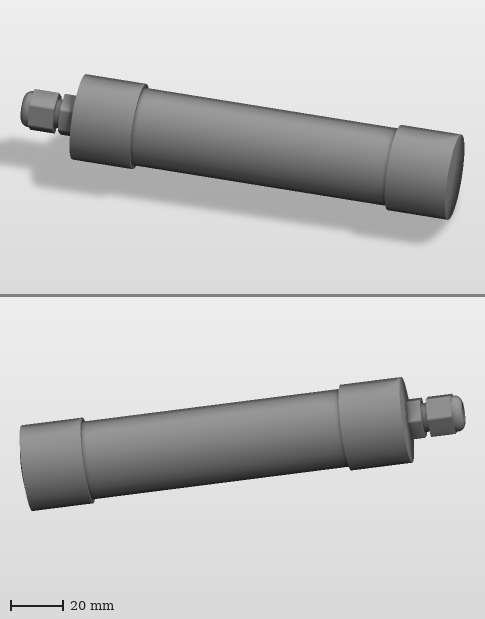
import cadquery as cq
import math

tube_diameter = 30.0
tube_bore = 24.0
cap_diameter = 33.0
cap_length = 23.6
rim_span = 147.2
dome_height = 1.6
socket_depth = 20.5
socket_floor = cap_length - socket_depth

hex_across_flats = 14.5
hex_corner_fillet = 1.0
hex_roll = 22.0
hex_end = -6.5
nut_start = -8.7
nut_hex_length = 9.5
nut_nose_length = 3.7
nut_nose_diameter = 14.0
nut_nose_round = 3.0
neck_diameter = 11.2
cable_bore = 7.5
neck_engagement = 3.2
neck_end = hex_end + neck_engagement

heading = 25.4
droop = 0.57


def cylinder(diameter, start, end):
    """Cylinder on the tube axis between two X positions."""
    return cq.Workplane("YZ", origin=(start, 0, 0)).circle(diameter / 2).extrude(end - start)


def hexagon(start, end):
    """Hexagonal prism on the tube axis with rounded corner edges."""
    corner_diameter = hex_across_flats / math.cos(math.radians(30))
    prism = cq.Workplane("YZ", origin=(start, 0, 0)).polygon(6, corner_diameter).extrude(end - start)
    prism = prism.edges("|X").fillet(hex_corner_fillet)
    return prism.rotate((0, 0, 0), (1, 0, 0), 90 - hex_roll)


def make_cap():
    """Domed cap with its rim at X = 0 and its open socket facing +X."""
    radius = cap_diameter / 2
    blank = (
        cq.Workplane("XY")
        .moveTo(cap_length, 0)
        .lineTo(cap_length, radius)
        .lineTo(0, radius)
        .radiusArc((-dome_height, 0), -(radius**2 + dome_height**2) / (2 * dome_height))
        .close()
        .revolve(360, (0, 0, 0), (1, 0, 0))
    )
    return blank.cut(cylinder(tube_diameter, socket_floor, cap_length))


def make_tube():
    start = socket_floor
    end = rim_span - socket_floor
    return cylinder(tube_diameter, start, end).cut(cylinder(tube_bore, start, end))


def make_gland_base(cap):
    """Hexagon seated on the domed cap, recessed for the neck and bored for the cable."""
    base = hexagon(hex_end, 0).cut(cylinder(neck_diameter, hex_end, neck_end))
    return base.cut(cylinder(cable_bore, neck_end, 0)).cut(cap)


def make_gland_nut():
    """Hexagonal nut with a rounded nose and a neck that enters the base, bored for the cable."""
    nose_start = nut_start - nut_hex_length
    tip = nose_start - nut_nose_length
    nose = cylinder(nut_nose_diameter, tip, nose_start).faces("<X").edges().fillet(nut_nose_round)
    neck = cylinder(neck_diameter, nut_start, neck_end)
    nut = hexagon(nose_start, nut_start).union(nose).union(neck)
    return nut.cut(cylinder(cable_bore, tip, neck_end))


def place(body):
    """Tilt and swing a body from the local frame to its final direction."""
    tilted = body.rotate((0, 0, 0), (0, 1, 0), droop)
    return tilted.rotate((0, 0, 0), (0, 0, 1), heading).val()


gland_cap = make_cap()
far_cap = make_cap().rotate((0, 0, 0), (0, 0, 1), 180).translate((rim_span, 0, 0))
tube = make_tube()
gland_base = make_gland_base(gland_cap)
gland_nut = make_gland_nut()

bodies = [gland_cap, far_cap, tube, gland_base, gland_nut]
result = cq.Compound.makeCompound([place(body) for body in bodies])